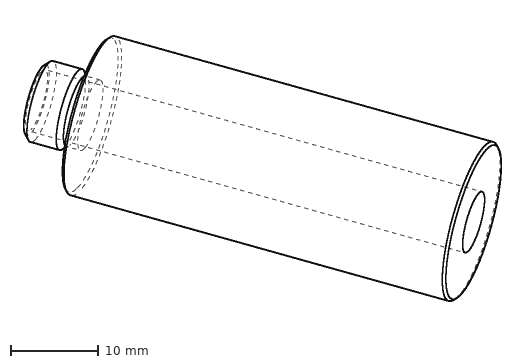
import cadquery as cq

total_length = 53.5
body_diameter = 19.0
body_chamfer = 0.3
spigot_length = 6.6
collar_diameter = 9.7
collar_length = 4.85
collar_chamfer = 0.65
neck_diameter = 8.4
bore_diameter = 7.3

body_radius = body_diameter / 2
collar_radius = collar_diameter / 2
neck_radius = neck_diameter / 2
x_left = -total_length / 2
x_right = total_length / 2
x_shoulder = x_left + spigot_length
x_collar_end = x_left + collar_length
collar_taper = collar_radius - neck_radius


def make_outer_body():
    """Body with a stepped spigot, revolved from its half profile."""
    profile = [
        (x_left, 0),
        (x_left, collar_radius - collar_chamfer),
        (x_left + collar_chamfer, collar_radius),
        (x_collar_end - collar_taper, collar_radius),
        (x_collar_end, neck_radius),
        (x_shoulder, neck_radius),
        (x_shoulder, body_radius - body_chamfer),
        (x_shoulder + body_chamfer, body_radius),
        (x_right - body_chamfer, body_radius),
        (x_right, body_radius - body_chamfer),
        (x_right, 0),
    ]
    return cq.Workplane("XY").polyline(profile).close().revolve(360, (0, 0, 0), (1, 0, 0))


def make_bore():
    """Straight bore through the full length."""
    return cq.Workplane("YZ", origin=(x_left, 0, 0)).circle(bore_diameter / 2).extrude(total_length)


result = make_outer_body().cut(make_bore())